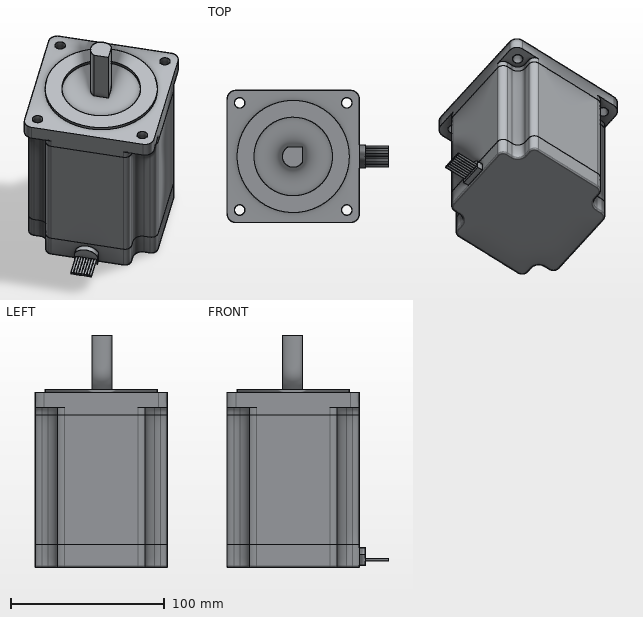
import cadquery as cq
import math

flange_side = 86.0
half_side = flange_side / 2
total_height = 151.0
rear_seam_z = 15.1
front_seam_z = 99.2
flange_bottom_z = 104.0
flange_top_z = 113.9
pilot_height = 2.0

flange_corner_radius = 5.9
pilot_diameter = 73.0
recess_diameter = 51.0
bolt_pitch = 69.6
bolt_hole_diameter = 6.6

scoop_inset = 8.5
scoop_radius = 6.0
shoulder_radius = 4.5
bottom_rounding = 1.0

shaft_diameter = 14.0
shaft_radius = shaft_diameter / 2
shaft_flat_distance = 6.0

gland_length = 3.8
gland_width = 15.1
gland_bottom_z = 1.5
gland_shoulder_z = 8.5
gland_top_z = 13.0
wire_count = 8
wire_diameter = 1.7
wire_row_width = 13.9
wire_pitch = (wire_row_width - wire_diameter) / (wire_count - 1)
wire_length = 15.1
wire_z = 5.1


def quarter_turns(point, turns):
    """Rotate a point about the motor axis by whole quarter turns."""
    x, y = point
    for _ in range(turns):
        x, y = -y, x
    return (x, y)


def body_section(bottom_z, top_z):
    """Prism with the scooped-corner section shared by the three stacked bodies."""
    scoop_centre = half_side - scoop_inset
    wall = scoop_centre - scoop_radius
    side_end = wall - shoulder_radius
    shoulder_centre = half_side - shoulder_radius
    shoulder_mid = shoulder_radius * math.sqrt(0.5)
    scoop_mid = scoop_centre - scoop_radius * math.sqrt(0.5)

    outline = cq.Workplane("XY", origin=(0, 0, bottom_z)).moveTo(half_side, -side_end)
    for turns in range(4):
        def corner(x, y):
            return quarter_turns((x, y), turns)

        outline = (
            outline.lineTo(*corner(half_side, side_end))
            .threePointArc(
                corner(shoulder_centre + shoulder_mid, side_end + shoulder_mid),
                corner(shoulder_centre, wall),
            )
            .lineTo(*corner(scoop_centre, wall))
            .threePointArc(corner(scoop_mid, scoop_mid), corner(wall, scoop_centre))
            .lineTo(*corner(wall, shoulder_centre))
            .threePointArc(
                corner(side_end + shoulder_mid, shoulder_centre + shoulder_mid),
                corner(side_end, half_side),
            )
        )
    return outline.close().extrude(top_z - bottom_z)


def make_shaft():
    """Round shaft with flats facing +X and +Y, standing on the flange."""
    flat_end = math.sqrt(shaft_radius**2 - shaft_flat_distance**2)
    arc_mid = -shaft_radius * math.sqrt(0.5)
    return (
        cq.Workplane("XY", origin=(0, 0, flange_top_z))
        .moveTo(shaft_flat_distance, -flat_end)
        .lineTo(shaft_flat_distance, shaft_flat_distance)
        .lineTo(-flat_end, shaft_flat_distance)
        .threePointArc((arc_mid, arc_mid), (shaft_flat_distance, -flat_end))
        .close()
        .extrude(total_height - flange_top_z)
    )


def make_front_cover():
    """Flange with pilot ring, bolt holes and shaft, above a short scooped section."""
    flange = (
        cq.Workplane("XY", origin=(0, 0, flange_bottom_z))
        .rect(flange_side, flange_side)
        .extrude(flange_top_z - flange_bottom_z)
        .edges("|Z")
        .fillet(flange_corner_radius)
        .faces(">Z")
        .workplane()
        .rect(bolt_pitch, bolt_pitch, forConstruction=True)
        .vertices()
        .hole(bolt_hole_diameter)
    )
    pilot_ring = (
        cq.Workplane("XY", origin=(0, 0, flange_top_z))
        .circle(pilot_diameter / 2)
        .circle(recess_diameter / 2)
        .extrude(pilot_height)
    )
    neck = body_section(front_seam_z, flange_bottom_z)
    return neck.union(flange).union(pilot_ring).union(make_shaft())


def make_stator():
    return body_section(rear_seam_z, front_seam_z)


def make_gland():
    """Cable outlet block with an arched top."""
    half_width = gland_width / 2
    return (
        cq.Workplane("YZ", origin=(half_side, 0, 0))
        .moveTo(-half_width, gland_bottom_z)
        .lineTo(half_width, gland_bottom_z)
        .lineTo(half_width, gland_shoulder_z)
        .threePointArc((0, gland_top_z), (-half_width, gland_shoulder_z))
        .close()
        .extrude(gland_length)
    )


def make_rear_cover():
    """Round-edged bottom section with the cable gland and its row of wires."""
    cover = body_section(0, rear_seam_z).faces("<Z").edges().fillet(bottom_rounding)
    cover = cover.union(make_gland())
    first_wire_y = -wire_pitch * (wire_count - 1) / 2
    for index in range(wire_count):
        wire = (
            cq.Workplane("YZ", origin=(half_side + gland_length, 0, 0))
            .center(first_wire_y + index * wire_pitch, wire_z)
            .circle(wire_diameter / 2)
            .extrude(wire_length)
        )
        cover = cover.union(wire)
    return cover


front_cover = make_front_cover()
stator = make_stator()
rear_cover = make_rear_cover()

result = cq.Compound.makeCompound([front_cover.val(), stator.val(), rear_cover.val()])